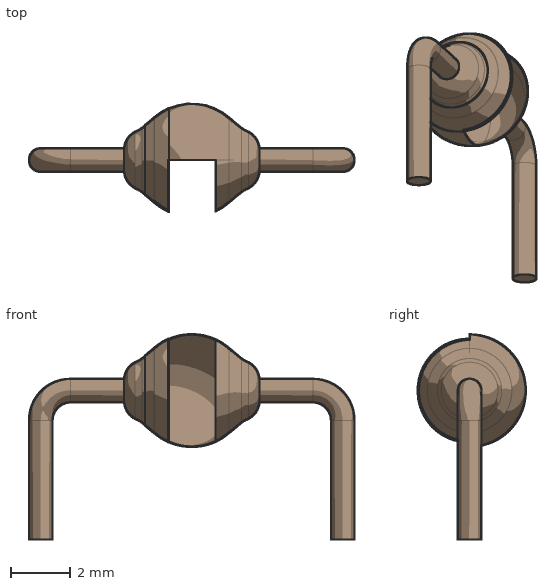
import cadquery as cq
import math


LEAD_RADIUS = 0.4
LEAD_PITCH = 10.15
LEAD_DROP = 5.01
BEND_RADIUS = 1.0

BULB_RADIUS = 1.9
BULB_HALF_LENGTH = 2.28
BULB_WALL = 0.02
CONE_START = 1.26
NECK_START = 1.67
NECK_RADIUS = 1.08
SHOULDER_X = 1.9
END_RADIUS = 0.7
END_CENTER_RADIUS = 0.33
WINDOW_HALF_WIDTH = 0.8

BAND_THICKNESS = 0.01
BAND_INNER_X = -0.765
BAND_OUTER_X = -1.577

END_RIM_ANGLE = math.asin((LEAD_RADIUS - END_CENTER_RADIUS) / END_RADIUS)
END_CENTER = (BULB_HALF_LENGTH - END_RADIUS * math.cos(END_RIM_ANGLE), END_CENTER_RADIUS)
SHOULDER_ANGLE = math.acos((SHOULDER_X - END_CENTER[0]) / END_RADIUS)

SPHERE_END_ANGLE = math.acos(CONE_START / BULB_RADIUS)
CONE_DROP = BULB_RADIUS * math.sin(SPHERE_END_ANGLE) - NECK_RADIUS
CONE_ANGLE = math.atan2(NECK_START - CONE_START, CONE_DROP)


def along(point, angle, distance):
    """The point that lies a distance from another one, at an angle from the X axis."""
    return (point[0] + distance * math.cos(angle), point[1] + distance * math.sin(angle))


def mirrored(point):
    return (-point[0], point[1])


def bulb_of_revolution(offset):
    """Solid inside the outer bulb surface, moved out by an offset."""
    crown = (0, BULB_RADIUS + offset)
    cone_start = along((0, 0), SPHERE_END_ANGLE, BULB_RADIUS + offset)
    neck_start = along((NECK_START, NECK_RADIUS), CONE_ANGLE, offset)
    shoulder = along(END_CENTER, SHOULDER_ANGLE, END_RADIUS + offset)
    end_middle = along(END_CENTER, (SHOULDER_ANGLE + END_RIM_ANGLE) / 2, END_RADIUS + offset)
    end_rim = along(END_CENTER, END_RIM_ANGLE, END_RADIUS + offset)
    neck_normal = (CONE_ANGLE + SHOULDER_ANGLE) / 2
    neck_sag = math.dist(neck_start, shoulder) / 2 * math.tan((SHOULDER_ANGLE - CONE_ANGLE) / 4)
    chord_middle = ((neck_start[0] + shoulder[0]) / 2, (neck_start[1] + shoulder[1]) / 2)
    neck_middle = along(chord_middle, neck_normal, -neck_sag)
    outline = (
        cq.Workplane("XZ")
        .moveTo(-end_rim[0], 0)
        .lineTo(*mirrored(end_rim))
        .threePointArc(mirrored(end_middle), mirrored(shoulder))
        .threePointArc(mirrored(neck_middle), mirrored(neck_start))
        .lineTo(*mirrored(cone_start))
        .threePointArc(crown, cone_start)
        .lineTo(*neck_start)
        .threePointArc(neck_middle, shoulder)
        .threePointArc(end_middle, end_rim)
        .lineTo(end_rim[0], 0)
        .close()
    )
    return outline.revolve(360, (0, 0, 0), (1, 0, 0))


def make_bulb():
    """Bulb with a spherical cavity, cut open over the middle of its -Y half."""
    cavity = cq.Workplane("XY").sphere(BULB_RADIUS - BULB_WALL)
    reach = 2 * BULB_RADIUS
    window = cq.Workplane("XY").box(2 * WINDOW_HALF_WIDTH, reach, 2 * reach).translate((0, -reach / 2, 0))
    return bulb_of_revolution(0).cut(cavity).cut(window)


def make_band():
    """Thin ring around the -X side of the bulb."""
    width = BAND_INNER_X - BAND_OUTER_X
    middle = (BAND_INNER_X + BAND_OUTER_X) / 2
    span = 3 * BULB_RADIUS
    slab = cq.Workplane("XY").box(width, span, span).translate((middle, 0, 0))
    return bulb_of_revolution(BAND_THICKNESS).cut(bulb_of_revolution(0)).intersect(slab)


def make_lead(side):
    """Wire that leaves the bulb end along X and bends down; side is -1 or 1."""
    leg_x = LEAD_PITCH / 2
    bend_start = leg_x - BEND_RADIUS
    path = (
        cq.Workplane("XZ")
        .moveTo(side * BULB_HALF_LENGTH, 0)
        .lineTo(side * bend_start, 0)
        .tangentArcPoint((side * leg_x, -BEND_RADIUS), relative=False)
        .lineTo(side * leg_x, -LEAD_DROP)
    )
    start = cq.Plane(origin=(side * BULB_HALF_LENGTH, 0, 0), xDir=(0, -1, 0), normal=(1, 0, 0))
    return cq.Workplane(start).circle(LEAD_RADIUS).sweep(path)


bulb = make_bulb()
band = make_band()
leads = [make_lead(side) for side in (-1, 1)]

result = cq.Compound.makeCompound([bulb.val(), band.val(), *(lead.val() for lead in leads)])